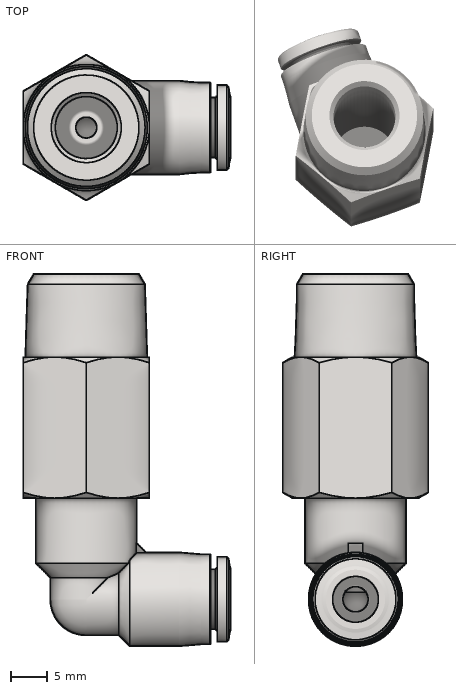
import cadquery as cq
import math


top_z = 45.0
thread_base_z = 33.5
thread_base_radius = 8.45
thread_taper = 1 / 32
thread_lead_height = 1.45
thread_top_radius = 7.28

hex_across_flats = 17.4625
hex_bottom_z = 14.0
hex_sides = 6
hex_sector = 360 / hex_sides
hex_bevel_angle = 30.0

stem_radius = 14.0 / 2
elbow_radius = 10.0 / 2
stem_bottom_z = 5.0

branch_radius = 13.0 / 2
branch_collar_radius = 12.5 / 2
branch_cone_start = 4.5
branch_cone_end = branch_cone_start + branch_radius - elbow_radius
branch_taper_start = 12.85
branch_collar_start = 15.85
branch_end = 17.25
collar_edge_chamfer = 0.15

ring_neck_radius = 8.35 / 2
ring_radius = 11.8 / 2
ring_start = 18.1
ring_end = 20.0
ring_rim_end = 19.7
ring_rim_chamfer = 0.3
ring_face_radius = 4.6
ring_lip_radius = 4.1
ring_lip_depth = 0.15
ring_root_width = 0.25
ring_root_radius = 4.4

gusset_reach = 1.25
gusset_thickness = 2.0

socket_radius = 8.57 / 2
socket_mouth_radius = 4.85
socket_mouth_angle = 60.0
socket_floor_z = hex_bottom_z
drop_hole_radius = 2.9 / 2
branch_bore_radius = 3.5 / 2
tube_radius = 6.35 / 2


def turned_about_z(profile):
    """Solid of revolution about Z from (radius, z) points."""
    return cq.Workplane("XZ").polyline(profile).close().revolve(360, (0, 0), (0, 1))


def turned_about_x(profile):
    """Solid of revolution about X from (x, radius) points."""
    return cq.Workplane("XZ").polyline(profile).close().revolve(360, (0, 0), (1, 0))


def make_thread():
    lead_z = top_z - thread_lead_height
    lead_radius = thread_base_radius - thread_taper * (lead_z - thread_base_z)
    return turned_about_z([
        (0, thread_base_z),
        (thread_base_radius, thread_base_z),
        (lead_radius, lead_z),
        (thread_top_radius, top_z),
        (0, top_z),
    ])


def make_hexagon():
    flat_radius = hex_across_flats / 2
    corner_radius = flat_radius / math.cos(math.radians(hex_sector / 2))
    bevel_height = (corner_radius - flat_radius) * math.tan(math.radians(hex_bevel_angle))
    prism = (
        cq.Workplane("XY", origin=(0, 0, hex_bottom_z))
        .polygon(hex_sides, 2 * corner_radius)
        .extrude(thread_base_z - hex_bottom_z)
        .rotate((0, 0, 0), (0, 0, 1), hex_sector / 2)
    )
    bevel = turned_about_z([
        (0, hex_bottom_z),
        (flat_radius, hex_bottom_z),
        (corner_radius, hex_bottom_z + bevel_height),
        (corner_radius, thread_base_z - bevel_height),
        (flat_radius, thread_base_z),
        (0, thread_base_z),
    ])
    return prism.intersect(bevel)


def make_stem():
    shoulder_z = stem_bottom_z - (stem_radius - elbow_radius)
    return turned_about_z([
        (0, 0),
        (elbow_radius, 0),
        (elbow_radius, shoulder_z),
        (stem_radius, stem_bottom_z),
        (stem_radius, hex_bottom_z),
        (0, hex_bottom_z),
    ])


def make_branch():
    return turned_about_x([
        (0, 0),
        (0, elbow_radius),
        (branch_cone_start, elbow_radius),
        (branch_cone_end, branch_radius),
        (branch_taper_start, branch_radius),
        (branch_collar_start, branch_collar_radius),
        (branch_end - collar_edge_chamfer, branch_collar_radius),
        (branch_end, branch_collar_radius - collar_edge_chamfer),
        (branch_end, ring_neck_radius),
        (ring_start - ring_root_width, ring_neck_radius),
        (ring_start, ring_root_radius),
        (ring_start, ring_radius),
        (ring_rim_end - ring_rim_chamfer, ring_radius),
        (ring_rim_end, ring_radius - ring_rim_chamfer),
        (ring_end - ring_lip_depth, ring_face_radius),
        (ring_end, ring_lip_radius),
        (ring_end, 0),
    ])


def make_gusset():
    slope_sum = stem_radius + branch_radius + gusset_reach
    return (
        cq.Workplane("XZ")
        .polyline([(0, elbow_radius), (slope_sum - elbow_radius, elbow_radius),
                   (stem_radius, slope_sum - stem_radius), (0, slope_sum - stem_radius)])
        .close()
        .extrude(gusset_thickness / 2, both=True)
    )


def make_passages():
    mouth_slope = math.tan(math.radians(socket_mouth_angle))
    mouth_depth = (socket_mouth_radius - socket_radius) * mouth_slope
    socket = turned_about_z([
        (0, socket_floor_z),
        (socket_radius, socket_floor_z),
        (socket_radius, top_z - mouth_depth),
        (socket_mouth_radius, top_z),
        (0, top_z),
    ])
    drop_hole = cq.Workplane("XY").circle(drop_hole_radius).extrude(socket_floor_z)
    branch_bore = cq.Workplane("YZ").circle(branch_bore_radius).extrude(branch_cone_end)
    bore_end = cq.Workplane("XY").sphere(branch_bore_radius)
    tube_hole = (
        cq.Workplane("YZ", origin=(branch_cone_end, 0, 0))
        .circle(tube_radius)
        .extrude(ring_end - branch_cone_end)
    )
    return socket.union(drop_hole).union(branch_bore).union(bore_end).union(tube_hole)


elbow_corner = cq.Workplane("XY").sphere(elbow_radius)
body = make_stem().union(make_branch()).union(elbow_corner).union(make_gusset())
body = body.union(make_hexagon()).union(make_thread())
result = body.cut(make_passages())